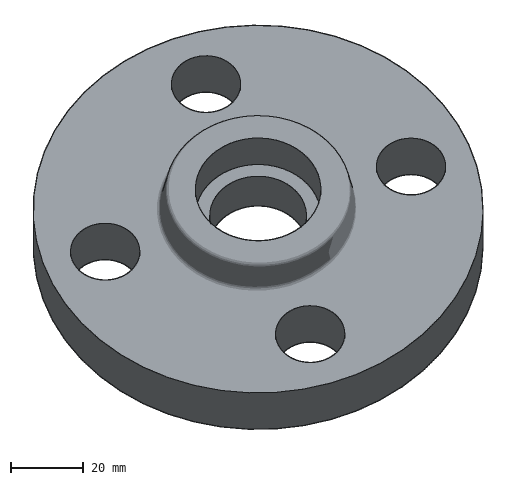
import cadquery as cq

flange_diameter = 123.9
flange_thickness = 17.5

total_height = 26.9
hub_height = total_height - flange_thickness
hub_base_diameter = 54.0
hub_taper_angle = 10.0
hub_top_round = 1.6
hub_root_fillet = 1.6

socket_diameter = 34.6
socket_depth = 12.6
bore_diameter = 26.6

bolt_circle_diameter = 89.0
bolt_hole_diameter = 19.1
bolt_hole_count = 4


def make_flange_disc():
    return cq.Workplane("XY").circle(flange_diameter / 2).extrude(flange_thickness)


def add_hub(disc):
    """Raise the tapered hub from the disc, then round its top rim and fillet its root."""
    hub = (
        cq.Workplane("XY")
        .workplane(offset=flange_thickness)
        .circle(hub_base_diameter / 2)
        .extrude(hub_height, taper=hub_taper_angle)
        .faces(">Z")
        .edges()
        .fillet(hub_top_round)
    )
    body = disc.union(hub)
    root_edge = body.edges(cq.selectors.RadiusNthSelector(-2))
    return root_edge.fillet(hub_root_fillet)


def cut_stepped_bore(body):
    """Cut the through bore and the wider socket above it, open at the hub's top."""
    return body.faces(">Z").workplane().cboreHole(bore_diameter, socket_diameter, socket_depth)


def cut_bolt_holes(body):
    holes = (
        cq.Workplane("XY")
        .polarArray(bolt_circle_diameter / 2, 0, 360, bolt_hole_count)
        .circle(bolt_hole_diameter / 2)
        .extrude(flange_thickness)
    )
    return body.cut(holes)


flange = make_flange_disc()
flange = add_hub(flange)
flange = cut_stepped_bore(flange)
result = cut_bolt_holes(flange)